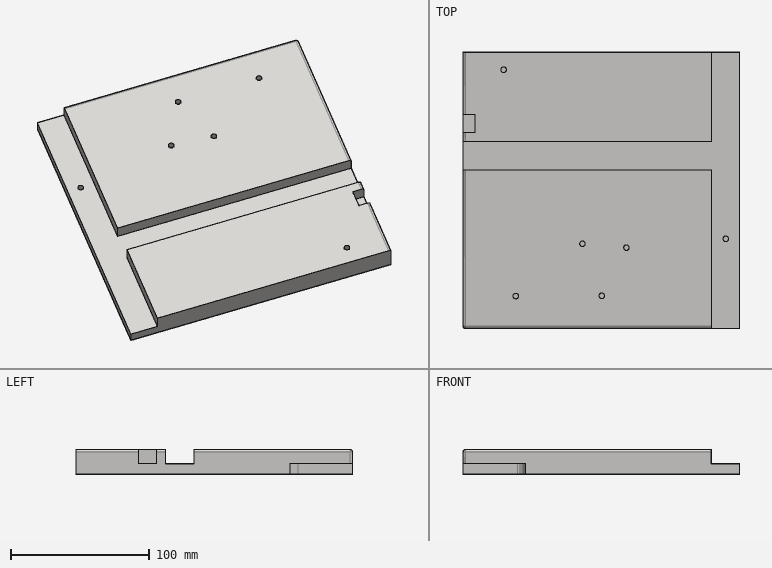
import cadquery as cq

side = 200.0
height = 18.0
floor_height = 7.8
raised_height = height - floor_height

ledge_width = 20.5
ledge_start = side - ledge_width
channel_start = 114.8

notch_start = 141.8
notch_width = 13.0
notch_depth = 8.5

recess_side = 45.5
recess_corner_radius = 6.0

edge_radius = 2.0

hole_diameter = 4.0
hole_depth = 6.0
raised_hole_centers = [
    (29.5, 187.2),
    (86.5, 61.5),
    (118.2, 58.5),
    (38.2, 23.5),
    (100.5, 23.8),
]
ledge_hole_centers = [(190.0, 65.0)]


def corner_box(corner, size):
    """Box that extends from its lowest corner towards +X, +Y and +Z."""
    return cq.Workplane("XY").box(*size, centered=False).translate(corner)


def rounded_plate():
    """Stepped plate with rounded upper edges along -X and -Y and a rounded upper corner."""
    base = corner_box((0, 0, 0), (side, side, floor_height))
    raised = corner_box((0, 0, floor_height), (ledge_start, side, raised_height))
    raised = raised.edges("(|Z and <X and <Y) or (>Z and <X) or (>Z and <Y)").fillet(edge_radius)
    return base.union(raised)


def channel():
    """Cutter for the channel from the -X side to the ledge."""
    return corner_box((0, channel_start, floor_height), (ledge_start, ledge_width, raised_height))


def notch():
    """Cutter for the rectangular notch in the -X edge."""
    return corner_box((0, notch_start, floor_height), (notch_depth, notch_width, raised_height))


def corner_recess():
    """Cutter for the underside recess, with its inner vertical corner rounded."""
    block = corner_box((0, 0, 0), (recess_side, recess_side, floor_height))
    return block.edges("|Z and >X and >Y").fillet(recess_corner_radius)


def blind_holes(centers, surface_height):
    """Cutter for holes drilled down from a surface at the given height."""
    surface = cq.Workplane("XY").workplane(offset=surface_height)
    return surface.pushPoints(centers).circle(hole_diameter / 2).extrude(-hole_depth)


cutters = [
    channel(),
    notch(),
    corner_recess(),
    blind_holes(raised_hole_centers, height),
    blind_holes(ledge_hole_centers, floor_height),
]

result = rounded_plate()
for cutter in cutters:
    result = result.cut(cutter)